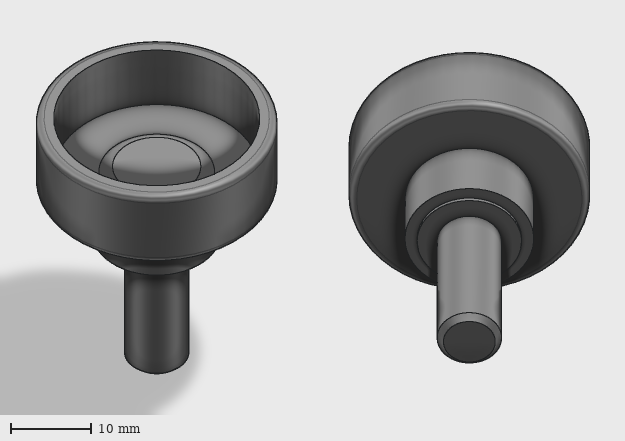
import cadquery as cq

total_height = 39.5

cup_diameter = 30.0
cup_height = 11.0
cup_bore_diameter = 25.6
cup_depth = 9.0
cup_edge_radius = 1.0
hub_diameter = 16.0
hub_height = 8.0

boss_base_diameter = 14.4
boss_top_diameter = 11.0
boss_height = 1.0

collar_diameter = 13.0
collar_height = 0.5
shank_diameter = 8.0
tip_chamfer_height = 0.8
tip_chamfer_inset = 0.8

cup_bottom = total_height - cup_height
cup_floor = total_height - cup_depth
hub_bottom = cup_bottom - hub_height
collar_bottom = hub_bottom - collar_height


def cylinder(diameter, bottom, height):
    return cq.Workplane("XY").workplane(offset=bottom).circle(diameter / 2).extrude(height)


def make_floor_boss():
    """Truncated cone standing on the cup floor."""
    base_radius = boss_base_diameter / 2
    top_radius = boss_top_diameter / 2
    cone = cq.Solid.makeCone(base_radius, top_radius, boss_height, cq.Vector(0, 0, cup_floor))
    return cq.Workplane(cone)


def make_knob():
    """Cup with rounded outer edges, its hub and its floor boss."""
    cup = cylinder(cup_diameter, cup_bottom, cup_height).edges().fillet(cup_edge_radius)
    cup = cup.cut(cylinder(cup_bore_diameter, cup_floor, cup_depth))
    hub = cylinder(hub_diameter, hub_bottom, hub_height)
    return cup.union(hub).union(make_floor_boss())


def make_stud():
    """Collared shank with a chamfered tip."""
    shank = cylinder(shank_diameter, 0, collar_bottom)
    shank = shank.faces("<Z").chamfer(tip_chamfer_height, tip_chamfer_inset)
    collar = cylinder(collar_diameter, collar_bottom, collar_height)
    return shank.union(collar)


knob = make_knob()
stud = make_stud()

result = cq.Compound.makeCompound([knob.val(), stud.val()])